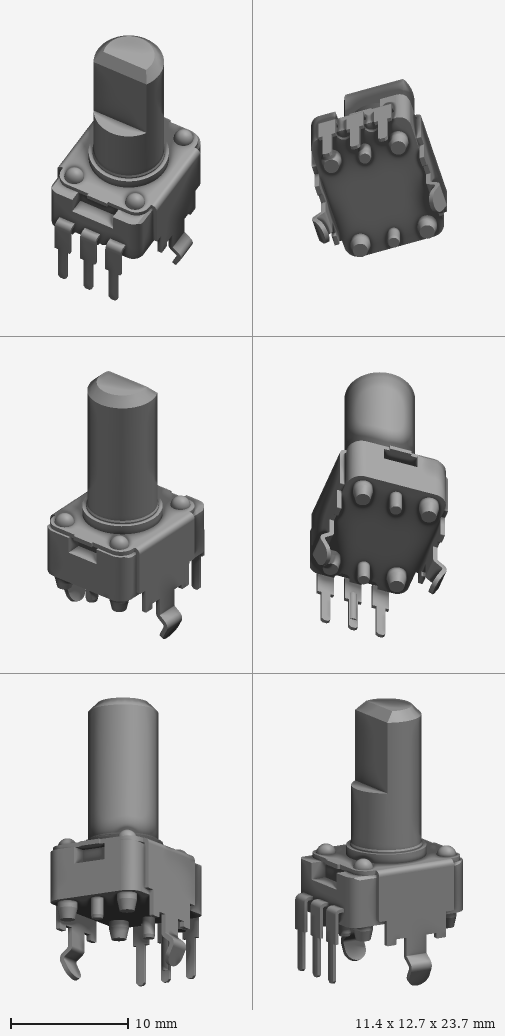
import cadquery as cq
import math


HOUSING_HALF_WIDTH = 4.43
HOUSING_FRONT = -6.28
HOUSING_BACK = 5.5
HOUSING_HEIGHT = 4.43
FRONT_CORNER_RADIUS = 1.0
BACK_CORNER_RADIUS = 1.25
SIDE_CHAMFER = 0.24
POCKET_DEPTH = 1.4
POCKET_FLOOR = 2.96
FRONT_POCKET_WIDTH = 3.98
BACK_POCKET_WIDTH = 3.03

STUD_X = 2.99
STUD_Y = 4.2
STUD_RADIUS = 0.85
PEG_STRAIGHT = 0.57
PEG_LENGTH = 1.52
PEG_TIP_RADIUS = 0.65
DOME_RISE = 0.78
CENTRE_PEG_RADIUS = 0.55
CENTRE_PEG_TIP_RADIUS = 0.47
CENTRE_PEG_LENGTH = 1.8

PIN_PITCH = 2.5
PIN_THICKNESS = 0.3
PIN_FRONT = -7.15
PIN_TOP = 1.55
PIN_SHOULDER = -1.55
PIN_BOTTOM = -5.07
PIN_WIDE = 1.5
PIN_NARROW = 0.8
PIN_TIP_CHAMFER = 0.21
PIN_BEND_RADIUS = 0.21
RIDGE_TOP = -0.66
RIDGE_BOTTOM = -4.05
RIDGE_WIDTH = 0.62
RIDGE_RISE = 0.15

SCALLOP_RADIUS = 0.7
SCALLOP_HEIGHT = 0.43

COLLAR_RADIUS = 3.44
COLLAR_TOP = 5.65
FOOT_RING_RADIUS = 3.1
FOOT_RING_TOP = 5.78
FOOT_CONE_TOP = 5.92
SHAFT_RADIUS = 3.0
SHAFT_TOP = 17.96
OVERALL_HEIGHT = 23.7
SHAFT_CHAMFER = 0.8
FLAT_FLOOR = 10.93
FLAT_Y = -1.52

SHEET = 0.4
COVER_TOP = HOUSING_HEIGHT + SHEET
PLATE_HALF_WIDTH = 4.31
PLATE_HALF_LENGTH = 5.29
PLATE_CORNER_RADIUS = 1.25
TAB_WIDTH = 1.95
SIDE_CLEARANCE = 0.05
LEG_OUTSIDE = HOUSING_HALF_WIDTH + SHEET + SIDE_CLEARANCE
LEG_OVERLAP = 0.24
LEG_ROOT = PLATE_HALF_WIDTH - LEG_OVERLAP
LEG_BEND_RADIUS = 0.1
LEG_HALF_WIDTH = 3.77
SKIRT_BOTTOM = 0.38
SKIRT_CORNER_RADIUS = 0.1
FOOT_OUTER = 2.96
FOOT_INNER = 2.01
FOOT_BOTTOM = -1.87
FOOT_ROOT = -1.37
FOOT_CORNER_RADIUS = 0.1
CLIP_HALF_WIDTH = 1.02
CLIP_KNEE = -3.1
CLIP_PEAK_X = 5.62
CLIP_PEAK = -3.85
CLIP_BOTTOM = SHAFT_TOP - OVERALL_HEIGHT
CLIP_TILT = math.radians(26.5)
CLIP_END = CLIP_BOTTOM + SHEET / 2 * math.sin(CLIP_TILT)
CLIP_END_X = CLIP_PEAK_X - (CLIP_PEAK - CLIP_END) * math.tan(CLIP_TILT)
KNEE_RADIUS = 0.07
PEAK_RADIUS = 0.24
CLIP_TIP_RADIUS = 1.0


def heading(start, end):
    """Angle of the straight line from start to end."""
    return math.atan2(end[1] - start[1], end[0] - start[0])


def bent_strip(plane, path, thickness, bend_radii, half_width):
    """Sheet strip along a centreline path, with the given inside radius at each bend."""
    headings = [heading(start, end) for start, end in zip(path, path[1:])]
    bends = [math.remainder(after - before, math.tau) for before, after in zip(headings, headings[1:])]
    turns = [0] + bends + [0]
    left = []
    right = []
    for (x, y), arriving, turn in zip(path, headings[:1] + headings, turns):
        normal = arriving + turn / 2 + math.pi / 2
        reach = thickness / 2 / math.cos(turn / 2)
        dx = reach * math.cos(normal)
        dy = reach * math.sin(normal)
        left.append((x + dx, y + dy))
        right.append((x - dx, y - dy))

    sketch = cq.Workplane(plane)
    strip = sketch.polyline(left + right[::-1]).close().extrude(half_width, both=True)
    for i, radius in enumerate(bend_radii, start=1):
        inside, outside = (left, right) if turns[i] > 0 else (right, left)
        strip = fillet_at(strip, sketch.plane.toWorldCoords(inside[i]), radius)
        strip = fillet_at(strip, sketch.plane.toWorldCoords(outside[i]), radius + thickness)
    return strip


def fillet_at(solid, point, radius):
    """Round the edge whose middle lies nearest to the point."""
    nearest = cq.selectors.NearestToPointSelector(point.toTuple())
    return solid.edges(nearest).fillet(radius)


def box(x_range, y_range, z_range):
    """Box between the given limits on each axis."""
    size = [limits[1] - limits[0] for limits in (x_range, y_range, z_range)]
    corner = (x_range[0], y_range[0], z_range[0])
    return cq.Workplane("XY").box(*size, centered=False).translate(corner)


def revolved(profile):
    """Solid of revolution about Z from (radius, height) corners."""
    return cq.Workplane("XZ").polyline(profile).close().revolve(360, (0, 0), (0, 1))


def make_stud():
    """Tapered peg below the housing, shank through it and rivet dome above the cover."""
    profile = [
        (0, -PEG_LENGTH),
        (PEG_TIP_RADIUS, -PEG_LENGTH),
        (STUD_RADIUS, -PEG_STRAIGHT),
        (STUD_RADIUS, COVER_TOP),
        (0, COVER_TOP),
    ]
    dome_top = COVER_TOP + DOME_RISE
    dome = cq.Workplane("XY").sphere(STUD_RADIUS).translate((0, 0, dome_top - STUD_RADIUS))
    return revolved(profile).union(dome)


def make_centre_peg():
    """Slim peg between two corner pegs, with a tapered tip."""
    profile = [
        (0, 0),
        (CENTRE_PEG_RADIUS, 0),
        (CENTRE_PEG_RADIUS, -PEG_LENGTH),
        (CENTRE_PEG_TIP_RADIUS, -CENTRE_PEG_LENGTH),
        (0, -CENTRE_PEG_LENGTH),
    ]
    return revolved(profile)


def make_block():
    """Rounded block with chamfered upper side edges, end pockets and front scallops."""
    width = (-HOUSING_HALF_WIDTH, HOUSING_HALF_WIDTH)
    block = box(width, (HOUSING_FRONT, HOUSING_BACK), (0, HOUSING_HEIGHT))
    block = block.edges("|Y and >Z").chamfer(SIDE_CHAMFER)
    rounded = box(width, (HOUSING_FRONT, HOUSING_BACK), (0, HOUSING_HEIGHT))
    rounded = rounded.edges("|Z and <Y").fillet(FRONT_CORNER_RADIUS)
    rounded = rounded.edges("|Z and >Y").fillet(BACK_CORNER_RADIUS)
    block = block.intersect(rounded)

    pocket_z = (POCKET_FLOOR, HOUSING_HEIGHT)
    half_front = FRONT_POCKET_WIDTH / 2
    half_back = BACK_POCKET_WIDTH / 2
    block = block.cut(box((-half_front, half_front), (HOUSING_FRONT, HOUSING_FRONT + POCKET_DEPTH), pocket_z))
    block = block.cut(box((-half_back, half_back), (HOUSING_BACK - POCKET_DEPTH, HOUSING_BACK), pocket_z))

    scallop_centres = [(side * PIN_PITCH / 2, HOUSING_FRONT) for side in (-1, 1)]
    scallops = cq.Workplane("XY").pushPoints(scallop_centres).circle(SCALLOP_RADIUS).extrude(SCALLOP_HEIGHT)
    return block.cut(scallops)


def make_housing():
    """Block with four corner studs and two centre pegs."""
    housing = make_block()
    for y in (-STUD_Y, STUD_Y):
        housing = housing.union(make_centre_peg().translate((0, y, 0)))
        for x in (-STUD_X, STUD_X):
            housing = housing.union(make_stud().translate((x, y, 0)))
    return housing


def make_pin(has_ridge):
    """Bent flat pin, butted against the housing front at x = 0."""
    middle = PIN_THICKNESS / 2
    path = [
        (HOUSING_FRONT, PIN_TOP - middle),
        (PIN_FRONT + middle, PIN_TOP - middle),
        (PIN_FRONT + middle, PIN_BOTTOM),
    ]
    pin = bent_strip("YZ", path, PIN_THICKNESS, [PIN_BEND_RADIUS], PIN_WIDE / 2)

    wide = PIN_WIDE / 2
    narrow = PIN_NARROW / 2
    tip = narrow - PIN_TIP_CHAMFER
    face = [
        (-wide, PIN_TOP),
        (-wide, PIN_SHOULDER),
        (-narrow, PIN_SHOULDER),
        (-narrow, PIN_BOTTOM + PIN_TIP_CHAMFER),
        (-tip, PIN_BOTTOM),
        (tip, PIN_BOTTOM),
        (narrow, PIN_BOTTOM + PIN_TIP_CHAMFER),
        (narrow, PIN_SHOULDER),
        (wide, PIN_SHOULDER),
        (wide, PIN_TOP),
    ]
    outline = cq.Workplane("XZ", origin=(0, HOUSING_FRONT, 0)).polyline(face).close()
    pin = pin.intersect(outline.extrude(HOUSING_FRONT - PIN_FRONT))
    if has_ridge:
        pin = pin.union(make_ridge())
    return pin


def make_ridge():
    """Rounded stiffening ridge on the back of a pin."""
    back = PIN_FRONT + PIN_THICKNESS
    half = RIDGE_WIDTH / 2
    section = cq.Workplane("XY", origin=(0, 0, RIDGE_BOTTOM)).moveTo(-half, back)
    section = section.threePointArc((0, back + RIDGE_RISE), (half, back)).close()
    return section.extrude(RIDGE_TOP - RIDGE_BOTTOM)


def make_plate():
    """Rounded cover plate with a small tab at the middle of each end."""
    half_width = PLATE_HALF_WIDTH
    plate_z = (HOUSING_HEIGHT, COVER_TOP)
    plate = box((-half_width, half_width), (-PLATE_HALF_LENGTH, PLATE_HALF_LENGTH), plate_z)
    plate = plate.edges("|Z").fillet(PLATE_CORNER_RADIUS)
    tabs = box((-TAB_WIDTH / 2, TAB_WIDTH / 2), (-HOUSING_BACK, HOUSING_BACK), plate_z)
    return plate.union(tabs)


def make_leg_outline():
    """Side outline of a leg: wide skirt, two feet and a narrow clip."""
    reach = (0, CLIP_PEAK_X + SHEET)
    skirt = box(reach, (-LEG_HALF_WIDTH, LEG_HALF_WIDTH), (SKIRT_BOTTOM, COVER_TOP))
    outline = skirt.edges("|X and <Z").fillet(SKIRT_CORNER_RADIUS)
    outline = outline.union(box(reach, (-FOOT_OUTER, FOOT_OUTER), (FOOT_ROOT, COVER_TOP)))
    for y_range in ((-FOOT_OUTER, -FOOT_INNER), (FOOT_INNER, FOOT_OUTER)):
        foot = box(reach, y_range, (FOOT_BOTTOM, COVER_TOP))
        outline = outline.union(foot.edges("|X and <Z").fillet(FOOT_CORNER_RADIUS))
    clip = box(reach, (-CLIP_HALF_WIDTH, CLIP_HALF_WIDTH), (CLIP_BOTTOM, COVER_TOP))
    return outline.union(clip)


def make_leg():
    """Leg on the +X side: bent down from the plate and kinked into a snap clip."""
    middle = LEG_OUTSIDE - SHEET / 2
    path = [
        (LEG_ROOT, COVER_TOP - SHEET / 2),
        (middle, COVER_TOP - SHEET / 2),
        (middle, CLIP_KNEE),
        (CLIP_PEAK_X, CLIP_PEAK),
        (CLIP_END_X, CLIP_END),
    ]
    bend_radii = [LEG_BEND_RADIUS, KNEE_RADIUS, PEAK_RADIUS]
    strip = bent_strip("XZ", path, SHEET, bend_radii, LEG_HALF_WIDTH)
    leg = strip.intersect(make_leg_outline())
    for y in (-CLIP_HALF_WIDTH, CLIP_HALF_WIDTH):
        leg = fillet_at(leg, cq.Vector(CLIP_END_X, y, CLIP_END), CLIP_TIP_RADIUS)
    return leg


def make_shaft():
    """Collar, foot ring and D-cut shaft with a chamfered top."""
    shaft = revolved([
        (0, HOUSING_HEIGHT),
        (COLLAR_RADIUS, HOUSING_HEIGHT),
        (COLLAR_RADIUS, COLLAR_TOP),
        (FOOT_RING_RADIUS, COLLAR_TOP),
        (FOOT_RING_RADIUS, FOOT_RING_TOP),
        (SHAFT_RADIUS, FOOT_CONE_TOP),
        (SHAFT_RADIUS, SHAFT_TOP),
        (0, SHAFT_TOP),
    ])
    width = (-SHAFT_RADIUS, SHAFT_RADIUS)
    shaft = shaft.cut(box(width, (-SHAFT_RADIUS, FLAT_Y), (FLAT_FLOOR, SHAFT_TOP)))
    return shaft.faces(">Z").edges().chamfer(SHAFT_CHAMFER)


def make_cover():
    """Plate with a leg on each side, and the collar and shaft standing on it."""
    leg = make_leg()
    return make_plate().union(leg).union(leg.mirror("YZ")).union(make_shaft())


housing = make_housing()
cover = make_cover().cut(housing)
pins = [make_pin(has_ridge=(i == 0)).translate((i * PIN_PITCH, 0, 0)) for i in (-1, 0, 1)]

result = cq.Compound.makeCompound([housing.val(), cover.val()] + [pin.val() for pin in pins])